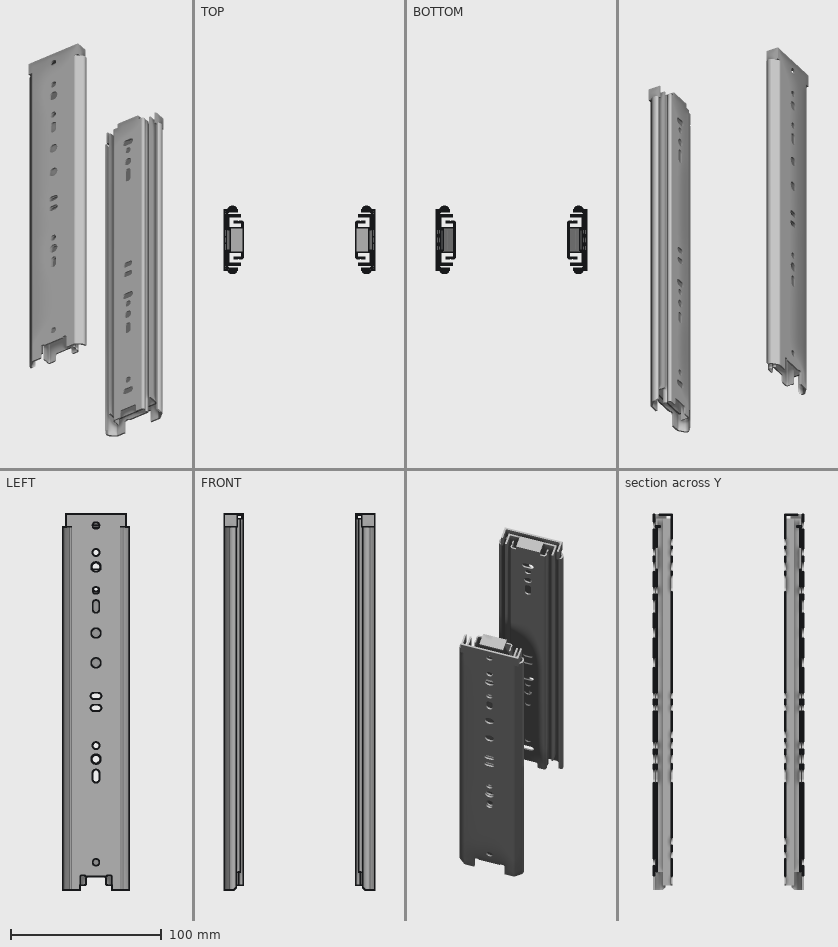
import cadquery as cq
import math


PAIR_WIDTH = 100.0
LENGTH = 250.0
TOP_Z = LENGTH / 2
BOTTOM_Z = -LENGTH / 2
SHEET = 1.2
HALF_HEIGHT = 22.2

OUTER_WEB_HALF = 17.2
OUTER_BEND_RADIUS = 2.0
OUTER_BEND_REACH = 2.5
RACE_START = (3.5, 21.5)
RACE_CROWN = (5.5, HALF_HEIGHT)
RACE_END = (8.0, 21.0)
RACE_END_CHAMFER = 1.8
HEAD_BOTTOM_Z = 116.2
HEAD_HALF = 20.0
HEAD_DEPTH = 8.8
HEAD_INNER_RADIUS = 0.8
OUTER_NOTCH_HALF = 10.5
OUTER_NOTCH_TOP_Z = -115.8
RELIEF_WIDTH = 3.5
RELIEF_RISE = 0.8
RELIEF_RADIUS = 1.2

MIDDLE_BACK = 1.8
MIDDLE_FRONT = 10.5
MIDDLE_HALF = 16.8
MIDDLE_TOP_Z = 121.8
MIDDLE_BOTTOM_Z = -113.0
STOP_HALF = 7.0
STOP_TOP_Z = 117.2
STOP_FRONT = 4.8
WINDOW_WIDTH = 7.5
WINDOW_BOTTOM_Z = 88.2
WINDOW_TOP_Z = 102.5

INNER_WEB = 1.0
INNER_LIP = 6.5
INNER_FRONT = 12.8
INNER_HALF = 12.5
INNER_HOLLOW_HALF = 11.5
INNER_HOLLOW_RADIUS = 0.8
BEAD_RADIUS = 1.8
LIP_CROWN_X = 8.0
LIP_END_Y = 12.2
GROOVE_X = 9.5
INNER_END_Z = 121.8
TAB_HALF = 8.2
TAB_BACK = 4.0
INNER_NOTCH_HALF = 6.5
INNER_NOTCH_TOP_Z = -116.0
INNER_NOTCH_RADIUS = 1.2

SMALL_HOLE = 4.5
LARGE_HOLE = 6.5
SCREW_HOLE = 5.5
CROSS_SLOT = (7.0, 4.0)
WIDE_SLOT = (8.2, SMALL_HOLE)
LONG_SLOT = 8.5
TOP_SLOT = 10.5

UPPER_SMALL_Z = 99.2
UPPER_ACCESS_Z = 89.8
LOWER_SMALL_Z = -29.0
LOWER_ACCESS_Z = -38.0
LOWER_SLOT_Z = -49.2
CROSS_SLOT_ZS = [4.0, -4.0]
SIGHT_HOLE_Z = 74.0
OUTER_END_HOLE_ZS = [117.2, -106.5]
OUTER_LARGE_ZS = [45.8, 26.0]
OUTER_SLOT_Z = 63.5
INNER_SMALL_Z = -92.8
INNER_WIDE_SLOT_ZS = [106.0, -22.0, -101.8]
INNER_TOP_SLOT_Z = 78.8


def block(x_range, y_range, z_range):
    """Box between two limits on each axis."""
    size = [high - low for low, high in (x_range, y_range, z_range)]
    corner = (x_range[0], y_range[0], z_range[0])
    return cq.Workplane("XY").box(*size, centered=False).translate(corner)


def centered_block(x_range, half_width, z_range):
    """Box that is symmetric about Y = 0."""
    return block(x_range, (-half_width, half_width), z_range)


def extrude_along_z(outline, bottom_z, top_z):
    return outline.extrude(top_z - bottom_z).translate((0, 0, bottom_z))


def web_holes(diameter, heights):
    """Round cutters through all the webs at Y = 0."""
    points = [(0, z) for z in heights]
    return cq.Workplane("YZ").pushPoints(points).circle(diameter / 2).extrude(INNER_FRONT)


def web_slots(length, width, heights, angle):
    """Rounded slot cutters; angle 0 lies along Y and 90 along Z."""
    points = [(0, z) for z in heights]
    return cq.Workplane("YZ").pushPoints(points).slot2D(length, width, angle).extrude(INNER_FRONT)


def cut_all(body, cutters):
    for cutter in cutters:
        body = body.cut(cutter)
    return body


def mirrored_in_y(shape):
    return shape.union(shape.mirror("XZ"))


def outer_wall():
    """Bend, slanted wall and curved ball race on the +Y side, one sheet thick."""
    bend_start_y = OUTER_WEB_HALF - OUTER_BEND_REACH
    slant = math.atan2(RACE_START[0], RACE_START[1] - OUTER_WEB_HALF)
    inside_corner = (SHEET, OUTER_WEB_HALF - SHEET * math.tan(slant / 2))
    inside_race_y = RACE_START[1] - SHEET
    inside_rise = inside_race_y - inside_corner[1]
    inside_race_start = (SHEET + inside_rise * math.tan(slant), inside_race_y)
    outline = (
        cq.Workplane("XY")
        .moveTo(0, bend_start_y)
        .lineTo(0, OUTER_WEB_HALF)
        .lineTo(*RACE_START)
        .threePointArc(RACE_CROWN, RACE_END)
        .lineTo(RACE_END[0], RACE_END[1] - SHEET)
        .threePointArc((RACE_CROWN[0], RACE_CROWN[1] - SHEET), inside_race_start)
        .lineTo(*inside_corner)
        .lineTo(SHEET, bend_start_y)
        .close()
    )
    wall = extrude_along_z(outline, BOTTOM_Z, HEAD_BOTTOM_Z)
    bends = [
        ((0, OUTER_WEB_HALF), OUTER_BEND_RADIUS),
        (inside_corner, OUTER_BEND_RADIUS - SHEET),
    ]
    for (x, y), radius in bends:
        wall = wall.edges("|Z").edges(cq.selectors.NearestToPointSelector((x, y, 0))).fillet(radius)
    tip = RACE_END[0]
    corner = (
        cq.Workplane("XZ")
        .polyline([
            (tip - RACE_END_CHAMFER, BOTTOM_Z),
            (tip, BOTTOM_Z),
            (tip, BOTTOM_Z + RACE_END_CHAMFER),
        ])
        .close()
        .extrude(-HALF_HEIGHT)
    )
    return wall.cut(corner)


def outer_head():
    """Plain channel at the top end."""
    z_range = (HEAD_BOTTOM_Z, TOP_Z)
    channel = centered_block((0, HEAD_DEPTH), HEAD_HALF, z_range)
    hollow = centered_block((SHEET, HEAD_DEPTH + SHEET), HEAD_HALF - SHEET, z_range)
    return channel.cut(hollow.edges("|Z and <X").fillet(HEAD_INNER_RADIUS))


def outer_notch():
    """Bottom notch with a rounded relief in each upper corner."""
    notch = centered_block((0, SHEET), OUTER_NOTCH_HALF, (BOTTOM_Z, OUTER_NOTCH_TOP_Z))
    relief = block(
        (0, SHEET),
        (OUTER_NOTCH_HALF - RELIEF_WIDTH, OUTER_NOTCH_HALF),
        (BOTTOM_Z, OUTER_NOTCH_TOP_Z + RELIEF_RISE),
    )
    relief = relief.edges("|X and >Z").fillet(RELIEF_RADIUS)
    return notch.union(mirrored_in_y(relief))


def make_outer_rail():
    web = centered_block((0, SHEET), OUTER_WEB_HALF - OUTER_BEND_REACH, (BOTTOM_Z, TOP_Z))
    rail = web.union(mirrored_in_y(outer_wall())).union(outer_head())
    return cut_all(rail, [
        outer_notch(),
        web_holes(SMALL_HOLE, OUTER_END_HOLE_ZS + [UPPER_SMALL_Z, SIGHT_HOLE_Z, LOWER_SMALL_Z]),
        web_holes(LARGE_HOLE, OUTER_LARGE_ZS + [UPPER_ACCESS_Z, LOWER_ACCESS_Z]),
        web_slots(*CROSS_SLOT, CROSS_SLOT_ZS, 0),
        web_slots(LONG_SLOT, SMALL_HOLE, [OUTER_SLOT_Z, LOWER_SLOT_Z], 90),
    ])


def middle_stop():
    """Stop block across the floor of the top notch, from the outer rail's web inwards."""
    return centered_block((SHEET, STOP_FRONT), STOP_HALF, (STOP_TOP_Z - SHEET, STOP_TOP_Z))


def make_middle_rail():
    z_range = (MIDDLE_BOTTOM_Z, MIDDLE_TOP_Z)
    web_front = MIDDLE_BACK + SHEET
    channel = centered_block((MIDDLE_BACK, MIDDLE_FRONT), MIDDLE_HALF, z_range)
    hollow = centered_block((web_front, MIDDLE_FRONT), MIDDLE_HALF - SHEET, z_range)
    web_range = (MIDDLE_BACK, web_front)
    notch = centered_block(web_range, STOP_HALF, (STOP_TOP_Z, MIDDLE_TOP_Z))
    window = centered_block(web_range, WINDOW_WIDTH / 2, (WINDOW_BOTTOM_Z, WINDOW_TOP_Z))
    rail = channel.cut(hollow).union(middle_stop())
    return cut_all(rail, [
        notch,
        window,
        web_holes(SMALL_HOLE, [SIGHT_HOLE_Z, LOWER_SMALL_Z]),
        web_holes(LARGE_HOLE, [LOWER_ACCESS_Z]),
        web_slots(*CROSS_SLOT, CROSS_SLOT_ZS, 0),
        web_slots(LONG_SLOT, SMALL_HOLE, [LOWER_SLOT_Z], 90),
    ])


def inner_half_channel():
    """+Y half of the channel: web, rounded bead, ball groove and lip."""
    bead_x = INNER_FRONT - BEAD_RADIUS
    bead_y = INNER_HALF - BEAD_RADIUS
    groove_y = bead_y + math.sqrt(BEAD_RADIUS**2 - (bead_x - GROOVE_X) ** 2)
    outline = (
        cq.Workplane("XY")
        .moveTo(INNER_LIP, 0)
        .lineTo(INNER_FRONT, 0)
        .lineTo(INNER_FRONT, bead_y)
        .threePointArc((bead_x, INNER_HALF), (GROOVE_X, groove_y))
        .threePointArc((LIP_CROWN_X, INNER_HALF), (INNER_LIP, LIP_END_Y))
        .close()
    )
    return extrude_along_z(outline, -INNER_END_Z, INNER_END_Z)


def inner_channel():
    """Channel that opens towards the outer rail."""
    hollow = centered_block(
        (INNER_LIP, INNER_FRONT - INNER_WEB), INNER_HOLLOW_HALF, (-INNER_END_Z, INNER_END_Z)
    )
    hollow = hollow.edges("|Z and >X").fillet(INNER_HOLLOW_RADIUS)
    return mirrored_in_y(inner_half_channel()).cut(hollow)


def inner_tab():
    """The web runs on to the top as a narrow neck and bends over."""
    tab = centered_block((TAB_BACK, INNER_FRONT), TAB_HALF, (INNER_END_Z, TOP_Z))
    below = centered_block(
        (TAB_BACK, INNER_FRONT - INNER_WEB), TAB_HALF, (INNER_END_Z, TOP_Z - INNER_WEB)
    )
    return tab.cut(below)


def inner_notch():
    """Bottom notch, rounded at its top corners and flared where it opens."""
    web_range = (INNER_FRONT - INNER_WEB, INNER_FRONT)
    notch = centered_block(web_range, INNER_NOTCH_HALF, (-INNER_END_Z, INNER_NOTCH_TOP_Z))
    notch = notch.edges("|X and >Z").fillet(INNER_NOTCH_RADIUS)
    mouth_z = -INNER_END_Z + INNER_NOTCH_RADIUS
    flare = block(
        web_range,
        (INNER_NOTCH_HALF, INNER_NOTCH_HALF + INNER_NOTCH_RADIUS),
        (-INNER_END_Z, mouth_z),
    )
    leg_corner = (
        cq.Workplane("YZ")
        .center(INNER_NOTCH_HALF + INNER_NOTCH_RADIUS, mouth_z)
        .circle(INNER_NOTCH_RADIUS)
        .extrude(INNER_FRONT)
    )
    return notch.union(mirrored_in_y(flare.cut(leg_corner)))


def make_inner_rail():
    rail = inner_channel().union(inner_tab())
    return cut_all(rail, [
        inner_notch(),
        web_holes(SMALL_HOLE, [UPPER_SMALL_Z, LOWER_SMALL_Z, INNER_SMALL_Z]),
        web_holes(SCREW_HOLE, [UPPER_ACCESS_Z, LOWER_ACCESS_Z]),
        web_slots(*CROSS_SLOT, CROSS_SLOT_ZS, 0),
        web_slots(*WIDE_SLOT, INNER_WIDE_SLOT_ZS, 0),
        web_slots(LONG_SLOT, SMALL_HOLE, [LOWER_SLOT_Z], 90),
        web_slots(TOP_SLOT, SMALL_HOLE, [INNER_TOP_SLOT_Z], 90),
    ])


bodies = []
for make_rail in (make_outer_rail, make_middle_rail, make_inner_rail):
    left_rail = make_rail().translate((-PAIR_WIDTH / 2, 0, 0))
    right_rail = left_rail.mirror("YZ")
    bodies += [left_rail.val(), right_rail.val()]

result = cq.Compound.makeCompound(bodies)